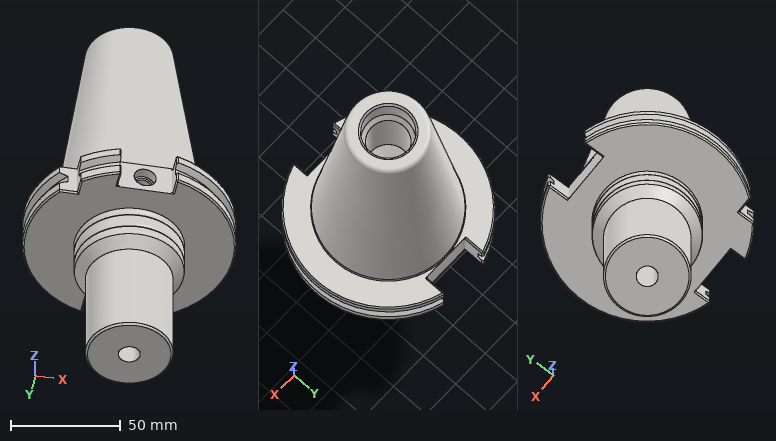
import cadquery as cq
import math

total_height = 188.6

gauge_diameter = 69.8
gauge_z = 86.8
taper_ratio = 7 / 24
taper_bottom_z = 86.2
taper_edge_radius = 2.5
neck_flare_z = 85.0
neck_foot_diameter = 70.7

flange_diameter = 97.3
flange_top_z = 84.0
flange_bottom_z = 68.0
flange_chamfer = 0.8
bevel_angle = 45.0
flange_thickness = flange_top_z - flange_bottom_z
groove_floor_diameter = 91.3
groove_floor_width = 3.2
groove_flank_angle = 30.0
groove_z = 76.2

collar_diameter = 50.5
ring_floor_diameter = 50.0
upper_ring_levels = (66.8, 65.6, 64.3, 63.7)
lower_ring_levels = (58.5, 57.3, 57.1, 56.5)
collar_bevel_top_z = 53.8
collar_bevel_bottom_z = 52.2

nose_diameter = 40.0
nose_chamfer = 1.0

bore_mouth_diameter = 27.2
bore_diameter = 25.0
bore_depth = 12.0
thread_diameter = 20.7
thread_depth = 47.2
through_diameter = 10.0
drill_point_angle = 118.0

slot_width = 25.6
front_slot_floor = 37.7
back_slot_floor = 35.5
slot_edge_bevel = 0.8
inner_corner_radius = 0.5
notch_offset = 30.0

counterbore_diameter = 10.2
counterbore_depth = 4.9
screw_diameter = 7.0
screw_edge_chamfer = 0.5
screw_depth = 3.8


def taper_radius(z):
    """Radius of the steep taper at height z."""
    return (gauge_diameter - (z - gauge_z) * taper_ratio) / 2


def ring_points(levels):
    """Outline of one shallow ring, listed from its top edge down."""
    radii = (collar_diameter, ring_floor_diameter, ring_floor_diameter, collar_diameter)
    return [(diameter / 2, z) for diameter, z in zip(radii, levels)]


def drill_point_height(large_diameter, small_diameter=0.0):
    """Height of a drill-point cone between two diameters."""
    return (large_diameter - small_diameter) / 2 / math.tan(math.radians(drill_point_angle / 2))


def turned_body():
    """Taper, flange, collar and nose as one revolved outline."""
    flange_radius = flange_diameter / 2
    floor_radius = groove_floor_diameter / 2
    floor_half = groove_floor_width / 2
    mouth_half = floor_half + (flange_radius - floor_radius) * math.tan(math.radians(groove_flank_angle))
    nose_radius = nose_diameter / 2
    bevel_radius = ring_floor_diameter / 2
    taper_end_radius = taper_radius(taper_bottom_z)
    outline = [
        (0, total_height),
        (taper_radius(total_height), total_height),
        (taper_end_radius, taper_bottom_z),
        (taper_end_radius, neck_flare_z),
        (neck_foot_diameter / 2, flange_top_z),
        (flange_radius - flange_chamfer, flange_top_z),
        (flange_radius, flange_top_z - flange_chamfer),
        (flange_radius, groove_z + mouth_half),
        (floor_radius, groove_z + floor_half),
        (floor_radius, groove_z - floor_half),
        (flange_radius, groove_z - mouth_half),
        (flange_radius, flange_bottom_z + flange_chamfer),
        (flange_radius - flange_chamfer, flange_bottom_z),
        (collar_diameter / 2, flange_bottom_z),
        *ring_points(upper_ring_levels),
        *ring_points(lower_ring_levels),
        (collar_diameter / 2, collar_bevel_top_z),
        (bevel_radius, collar_bevel_bottom_z),
        (nose_radius, collar_bevel_bottom_z - (bevel_radius - nose_radius)),
        (nose_radius, nose_chamfer),
        (nose_radius - nose_chamfer, 0),
        (0, 0),
    ]
    body = cq.Workplane("XZ").polyline(outline).close().revolve(360, (0, 0, 0), (0, 1, 0))
    return body.faces(">Z").edges().fillet(taper_edge_radius)


def drawbar_bore():
    """Stepped bore from the top face, running through to the nose end."""
    bore_radius = bore_diameter / 2
    mouth_radius = bore_mouth_diameter / 2
    thread_radius = thread_diameter / 2
    through_radius = through_diameter / 2
    thread_end_z = total_height - thread_depth
    bore_floor_z = total_height - bore_depth
    outline = [
        (0, total_height),
        (mouth_radius, total_height),
        (bore_radius, total_height - (mouth_radius - bore_radius)),
        (bore_radius, bore_floor_z),
        (thread_radius, bore_floor_z - (bore_radius - thread_radius)),
        (thread_radius, thread_end_z),
        (through_radius, thread_end_z - drill_point_height(thread_diameter, through_diameter)),
        (through_radius, 0),
        (0, 0),
    ]
    return cq.Workplane("XZ").polyline(outline).close().revolve(360, (0, 0, 0), (0, 1, 0))


def drive_slot(floor_distance, side):
    """Drive slot on one side of Y (-1 front, 1 back) with bevelled wall edges."""
    wall = slot_width / 2
    bevelled_wall = wall + slot_edge_bevel
    flange_radius = flange_diameter / 2
    floor_y = side * floor_distance
    rim_y = side * (math.sqrt(flange_radius**2 - bevelled_wall**2) - slot_edge_bevel)
    outer_y = side * flange_radius
    bevel_end_x = wall + abs(outer_y - rim_y)

    plan_points = [
        (-wall, floor_y),
        (wall, floor_y),
        (wall, rim_y),
        (bevel_end_x, outer_y),
        (-bevel_end_x, outer_y),
        (-wall, rim_y),
    ]
    plan = cq.Workplane("XY", origin=(0, 0, flange_bottom_z)).polyline(plan_points).close()
    floor_edges = "<Y" if side > 0 else ">Y"
    slot = plan.extrude(flange_thickness).faces(floor_edges).edges("|Z").fillet(inner_corner_radius)

    for level, inward in ((flange_top_z, -1), (flange_bottom_z, 1)):
        bevel_points = [
            (-bevelled_wall, level),
            (bevelled_wall, level),
            (wall, level + inward * slot_edge_bevel),
            (-wall, level + inward * slot_edge_bevel),
        ]
        plane = cq.Workplane("XZ", origin=(0, floor_y, 0))
        slot = slot.union(plane.polyline(bevel_points).close().extrude(floor_y - outer_y))
    return slot


def orientation_notch():
    """Square corner notch on the -X, -Y side of the flange, bevelled at both faces."""
    size = flange_diameter / 2 - notch_offset
    center = -notch_offset - size / 2
    prism = cq.Workplane("XY", origin=(center, center, flange_bottom_z)).rect(size, size)
    notch = prism.extrude(flange_thickness).edges("|Z").fillet(inner_corner_radius)
    bevelled_size = size + 2 * flange_chamfer
    for level, inward in ((flange_top_z, -1), (flange_bottom_z, 1)):
        mouth = cq.Workplane("XY", origin=(center, center, level)).rect(bevelled_size, bevelled_size)
        notch = notch.union(mouth.extrude(inward * flange_chamfer, taper=bevel_angle))
    return notch


def screw_hole():
    """Counterbored blind hole with a drill-point end."""
    counterbore_radius = counterbore_diameter / 2
    radius = screw_diameter / 2
    mouth_y = -front_slot_floor
    counterbore_floor_y = mouth_y + counterbore_depth
    screw_end_y = counterbore_floor_y + screw_depth
    outline = [
        (0, mouth_y),
        (counterbore_radius, mouth_y),
        (counterbore_radius, counterbore_floor_y),
        (radius + screw_edge_chamfer, counterbore_floor_y),
        (radius, counterbore_floor_y + screw_edge_chamfer),
        (radius, screw_end_y),
        (0, screw_end_y + drill_point_height(screw_diameter)),
    ]
    plane = cq.Workplane("XY", origin=(0, 0, groove_z))
    return plane.polyline(outline).close().revolve(360, (0, 0, 0), (0, 1, 0))


result = (
    turned_body()
    .cut(drawbar_bore())
    .cut(drive_slot(front_slot_floor, -1))
    .cut(drive_slot(back_slot_floor, 1))
    .cut(orientation_notch())
    .cut(screw_hole())
)